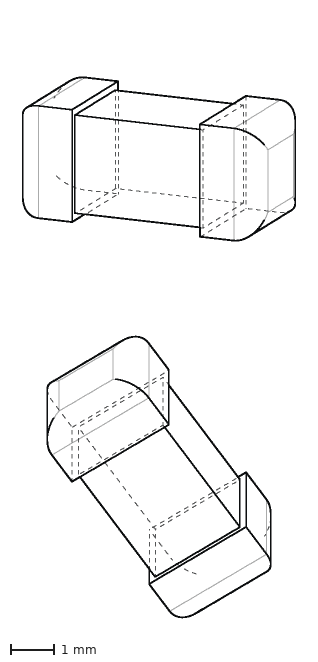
import cadquery as cq

length = 6.1
cap_side = 2.69

cap_length = 1.445
edge_radius = 0.6

body_side = 2.35


def end_cap(outward_face, direction):
    """Square cap whose outer end has all four edges rounded, meeting at mitred corners."""
    center_x = direction * (length - cap_length) / 2
    cap = cq.Workplane("XY").box(cap_length, cap_side, cap_side)
    return cap.faces(outward_face).edges().fillet(edge_radius).translate((center_x, 0, 0))


body_length = length - cap_length
body = cq.Workplane("XY").box(body_length, body_side, body_side)

result = body.union(end_cap("<X", -1)).union(end_cap(">X", 1))